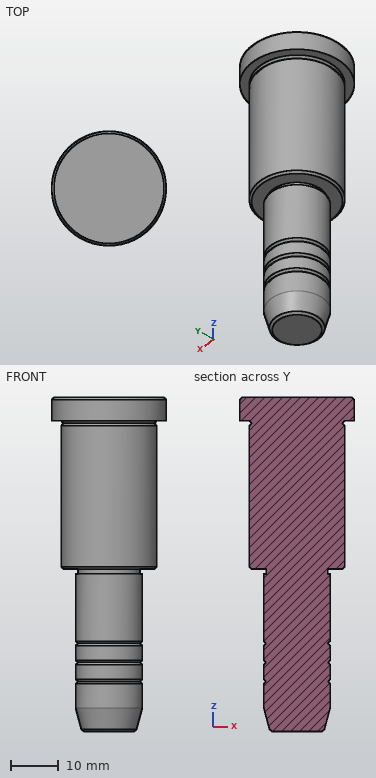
import cadquery as cq
import math

total_length = 70.0
head_diameter = 24.0
head_height = 5.0
body_diameter = 20.0
body_bottom = 34.0
shank_diameter = 14.0

edge_chamfer = 0.5
groove_depth = 0.5
groove_width = 2 * groove_depth
relief_height = 1.0
relief_depth = 0.5
shank_groove_top = 19.0
shank_groove_pitch = 4.0
shank_groove_count = 3
tip_length = 5.0
tip_half_angle = 15.0

head_bottom = total_length - head_height


def cylinder(diameter, bottom, top):
    return cq.Workplane("XY").workplane(offset=bottom).circle(diameter / 2).extrude(top - bottom)


def v_groove(diameter, top):
    """Ring with a triangular section that cuts a 45 degree groove into a cylinder."""
    radius = diameter / 2
    section = [
        (radius, top),
        (radius - groove_depth, top - groove_width / 2),
        (radius, top - groove_width),
    ]
    return cq.Workplane("XZ").polyline(section).close().revolve(360, (0, 0, 0), (0, 1, 0))


head = cylinder(head_diameter, head_bottom, total_length).faces(">Z").chamfer(edge_chamfer)

body = cylinder(body_diameter, body_bottom, head_bottom).faces("<Z").chamfer(edge_chamfer)
body = body.cut(v_groove(body_diameter, head_bottom))

shank_top = body_bottom - relief_height
neck = cylinder(shank_diameter - 2 * relief_depth, shank_top, body_bottom)

shank = cylinder(shank_diameter, tip_length, shank_top)
for index in range(shank_groove_count):
    shank = shank.cut(v_groove(shank_diameter, shank_groove_top - index * shank_groove_pitch))

tip_end_diameter = shank_diameter - 2 * tip_length * math.tan(math.radians(tip_half_angle))
tip = (
    cq.Workplane("XY")
    .circle(tip_end_diameter / 2)
    .workplane(offset=tip_length)
    .circle(shank_diameter / 2)
    .loft(ruled=True)
    .faces("<Z")
    .chamfer(edge_chamfer)
)

result = head.union(body).union(neck).union(shank).union(tip)